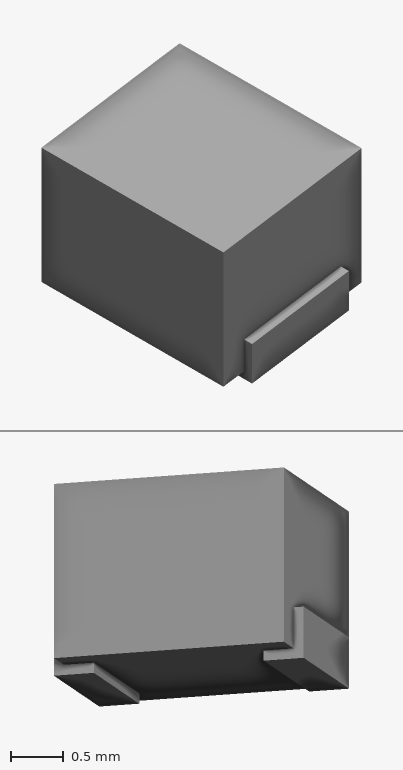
import cadquery as cq

length = 2.5
width = 2.0
height = 1.8

terminal_thickness = 0.1
terminal_width = 1.4
terminal_height = 0.5
terminal_foot = 0.4

body_length = length - 2 * terminal_thickness
body_height = height - terminal_thickness


def make_body():
    return (
        cq.Workplane("XY")
        .workplane(offset=terminal_thickness)
        .box(body_length, width, body_height, centered=(True, True, False))
    )


def make_terminal(side):
    """L-shaped terminal on the end given by side: -1 for -X, +1 for +X."""
    outer = side * length / 2
    wall = outer - side * terminal_thickness
    toe = outer - side * terminal_foot
    profile = [
        (outer, 0),
        (outer, terminal_height),
        (wall, terminal_height),
        (wall, terminal_thickness),
        (toe, terminal_thickness),
        (toe, 0),
    ]
    return cq.Workplane("XZ").polyline(profile).close().extrude(terminal_width / 2, both=True)


result = make_body()
for side in (-1, 1):
    result = result.union(make_terminal(side))